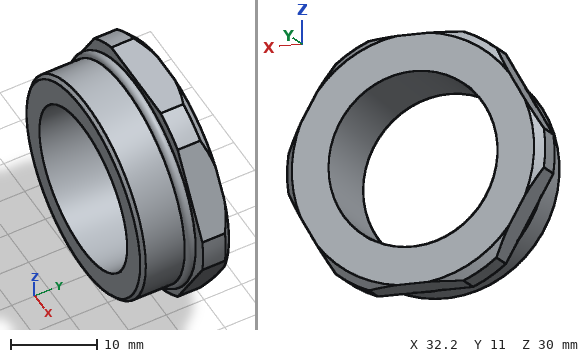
import cadquery as cq
import math

corner_diameter = 32.25
across_flats = 30.0
flange_thickness = 4.0
flange_chamfer = 1.0

total_length = 11.0
neck_diameter = 28.32
neck_chamfer = 0.5
bore_diameter = 21.1

ring_section_diameter = 1.35


def cylinder(diameter, length):
    """Cylinder from the flange front face (Y = 0), extending towards -Y."""
    return cq.Workplane("XZ").circle(diameter / 2).extrude(length)


def make_flange():
    """Hexagon with flats facing +Z and -Z, its corners turned and back rim chamfered."""
    across_corners = across_flats / math.cos(math.pi / 6)
    hexagon = cq.Workplane("XZ").polygon(6, across_corners).extrude(-flange_thickness)
    turned_blank = cylinder(corner_diameter, -flange_thickness).faces(">Y").chamfer(flange_chamfer)
    return hexagon.intersect(turned_blank)


def make_neck():
    """Cylinder with a chamfered front rim."""
    neck_length = total_length - flange_thickness
    return cylinder(neck_diameter, neck_length).faces("<Y").chamfer(neck_chamfer)


def make_ring():
    """Round-section ring touching the front face of the flange."""
    section_radius = ring_section_diameter / 2
    section = cq.Workplane("XY").center(neck_diameter / 2, -section_radius).circle(section_radius)
    return section.revolve(360, (-neck_diameter / 2, 0), (-neck_diameter / 2, 1))


bore = cq.Workplane("XZ").circle(bore_diameter / 2).extrude(total_length, both=True)
result = make_flange().union(make_neck()).union(make_ring()).cut(bore)